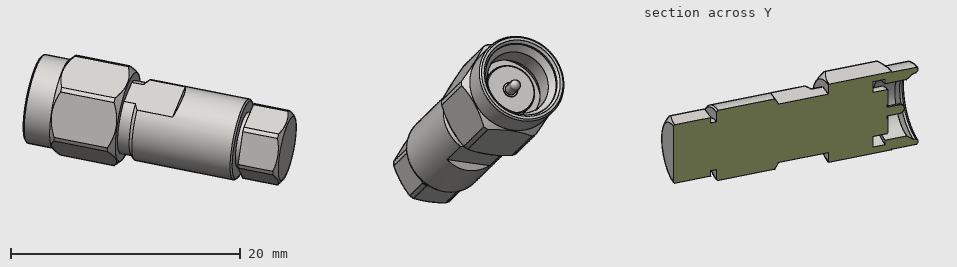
import cadquery as cq
import math


nut_start = 2.45
nut_end = 8.4
neck_end = 9.45
body_end = 18.85
clamp_start = 19.35
overall_length = 22.85

collar_radius = 3.95
collar_chamfer = 0.15
nut_across_flats = 8.0
nut_corner_radius = 4.5
nut_chamfer_length = nut_corner_radius - collar_radius

neck_radius = 3.25
barrel_radius = 3.6
barrel_chamfer = 0.15
shoulder_length = barrel_radius - neck_radius
rear_neck_radius = 2.46

wrench_across_flats = 6.0
wrench_flat_end = 13.03
ramp_angle = 60.0

clamp_across_flats = 6.0
clamp_corner_radius = 3.35
clamp_chamfer_radial = 0.5
clamp_chamfer_angle = 55.0

mouth_radius = 3.55
mouth_chamfer = 0.22
counterbore_radius = mouth_radius - mouth_chamfer
counterbore_depth = 0.45
bore_radius = 2.85
lead_in_end = 1.08
bore_end = 3.1
relief_radius = 3.3
socket_depth = 4.2

sleeve_face = 2.8
sleeve_radius = 2.27
sleeve_chamfer = 0.1
pin_recess_radius = 0.66
pin_recess_depth = 0.1
pin_radius = 0.47
pin_tip = 1.27
pin_shoulder = pin_tip + pin_radius


def revolve_about_x(profile):
    """Turn a closed X-radius profile about the X axis."""
    return profile.close().revolve(360, (0, 0, 0), (1, 0, 0))


def turned(points):
    """Turned solid whose (x, radius) outline starts and ends on the axis."""
    return revolve_about_x(cq.Workplane("XY").polyline(points))


def hexagon(start, end, across_flats):
    """Hexagonal bar along X with one pair of flats facing +Z and -Z."""
    across_corners = across_flats / math.cos(math.radians(30))
    bar = cq.Workplane("YZ").polygon(6, across_corners).extrude(end - start)
    return bar.translate((start, 0, 0))


def make_collar():
    return turned([
        (0, 0),
        (0, collar_radius - collar_chamfer),
        (collar_chamfer, collar_radius),
        (nut_start, collar_radius),
        (nut_start, 0),
    ])


def make_coupling_hexagon():
    envelope = turned([
        (nut_start, 0),
        (nut_start, collar_radius),
        (nut_start + nut_chamfer_length, nut_corner_radius),
        (nut_end - nut_chamfer_length, nut_corner_radius),
        (nut_end, collar_radius),
        (nut_end, 0),
    ])
    return hexagon(nut_start, nut_end, nut_across_flats).intersect(envelope)


def make_body():
    body = turned([
        (nut_end, 0),
        (nut_end, neck_radius),
        (neck_end, neck_radius),
        (neck_end + shoulder_length, barrel_radius),
        (body_end - barrel_chamfer, barrel_radius),
        (body_end, barrel_radius - barrel_chamfer),
        (body_end, rear_neck_radius),
        (clamp_start, rear_neck_radius),
        (clamp_start, 0),
    ])
    for side in (1, -1):
        body = body.cut(make_wrench_cut(side))
    return body


def make_wrench_cut(side):
    """Material removed above (side = 1) or below (side = -1) the barrel."""
    flat_height = wrench_across_flats / 2
    cut_height = nut_across_flats / 2
    ramp_run = (cut_height - flat_height) / math.tan(math.radians(ramp_angle))
    outline = [
        (nut_end, side * flat_height),
        (wrench_flat_end, side * flat_height),
        (wrench_flat_end + ramp_run, side * cut_height),
        (nut_end, side * cut_height),
    ]
    return cq.Workplane("XZ").polyline(outline).close().extrude(barrel_radius, both=True)


def make_clamp_nut():
    chamfer_length = clamp_chamfer_radial / math.tan(math.radians(clamp_chamfer_angle))
    envelope = turned([
        (clamp_start, 0),
        (clamp_start, clamp_corner_radius),
        (overall_length - chamfer_length, clamp_corner_radius),
        (overall_length, clamp_corner_radius - clamp_chamfer_radial),
        (overall_length, 0),
    ])
    return hexagon(clamp_start, overall_length, clamp_across_flats).intersect(envelope)


def make_socket():
    return turned([
        (0, 0),
        (0, mouth_radius),
        (mouth_chamfer, counterbore_radius),
        (counterbore_depth, counterbore_radius),
        (lead_in_end, bore_radius),
        (bore_end, bore_radius),
        (bore_end, relief_radius),
        (socket_depth, relief_radius),
        (socket_depth, 0),
    ])


def make_sleeve():
    """Contact sleeve with a shallow recess around the pin."""
    recess_floor = sleeve_face + pin_recess_depth
    return turned([
        (recess_floor, 0),
        (recess_floor, pin_recess_radius),
        (sleeve_face, pin_recess_radius),
        (sleeve_face, sleeve_radius - sleeve_chamfer),
        (sleeve_face + sleeve_chamfer, sleeve_radius),
        (socket_depth, sleeve_radius),
        (socket_depth, 0),
    ])


def make_pin():
    """Round pin with a hemispherical tip."""
    dome_offset = pin_radius * math.sqrt(0.5)
    profile = (
        cq.Workplane("XY")
        .moveTo(pin_tip, 0)
        .threePointArc((pin_shoulder - dome_offset, dome_offset), (pin_shoulder, pin_radius))
        .lineTo(socket_depth, pin_radius)
        .lineTo(socket_depth, 0)
    )
    return revolve_about_x(profile)


shell = make_collar().union(make_coupling_hexagon()).cut(make_socket())
result = (
    shell
    .union(make_sleeve())
    .union(make_pin())
    .union(make_body())
    .union(make_clamp_nut())
)